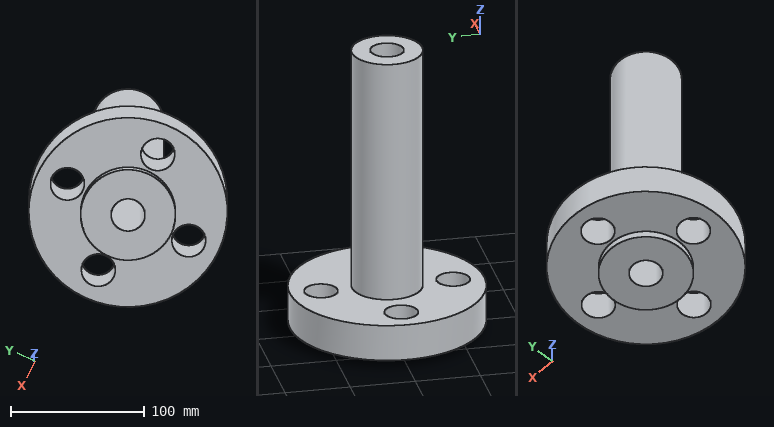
import cadquery as cq

total_height = 228.5
flange_diameter = 149.3
flange_thickness = 28.8

raised_face_diameter = 71.3
raised_face_height = 6.5

neck_diameter = 54.0
bore_diameter = 25.4

bolt_hole_count = 4
bolt_hole_diameter = 25.4
bolt_circle_diameter = 101.5

flange_top = raised_face_height + flange_thickness
neck_height = total_height - flange_top


def disc(diameter, bottom, height):
    """Solid cylinder on the Z axis, standing on the given level."""
    return cq.Workplane("XY").workplane(offset=bottom).circle(diameter / 2).extrude(height)


body = (
    disc(raised_face_diameter, 0, raised_face_height)
    .union(disc(flange_diameter, raised_face_height, flange_thickness))
    .union(disc(neck_diameter, flange_top, neck_height))
)

bore = disc(bore_diameter, 0, total_height)

bolt_holes = (
    cq.Workplane("XY")
    .workplane(offset=raised_face_height)
    .polarArray(bolt_circle_diameter / 2, 0, 360, bolt_hole_count)
    .circle(bolt_hole_diameter / 2)
    .extrude(flange_thickness)
)

result = body.cut(bore).cut(bolt_holes)